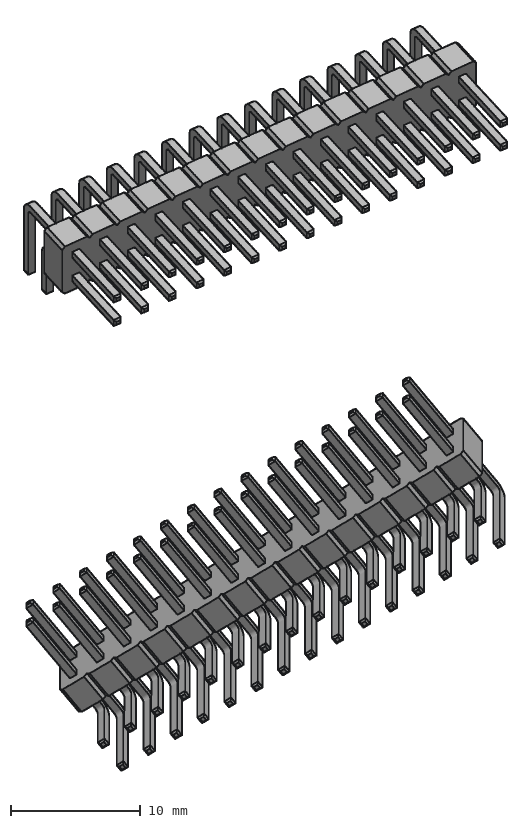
import cadquery as cq


body_length = 38.1
positions = 15
rows = 2
pitch = body_length / positions
body_width = pitch
body_height = rows * pitch
notch_size = 0.25

pin_size = 0.65
tip_chamfer = 0.15
bend_inner_radius = 0.35
bend_outer_radius = bend_inner_radius + pin_size

overall_width = 12.9
tail_drop = 7.77
front_reach = 6.02
pin_end_x = body_width / 2 + front_reach
outer_pin_x = pin_end_x - overall_width
upper_pin_top_z = body_height / 2 - (pitch - pin_size) / 2
pin_end_z = upper_pin_top_z - tail_drop


def make_body():
    """Rectangular bar with V notches between positions and matching end chamfers."""
    body = cq.Workplane("XY").box(body_width, body_length, body_height)
    for side in (1, -1):
        face_z = side * body_height / 2
        for i in range(positions + 1):
            y = i * pitch - body_length / 2
            notch = (
                cq.Workplane("YZ", origin=(-body_width / 2, 0, 0))
                .moveTo(y - notch_size, face_z)
                .lineTo(y + notch_size, face_z)
                .lineTo(y, face_z - side * notch_size)
                .close()
                .extrude(body_width)
            )
            body = body.cut(notch)
    return body


def make_pin(row):
    """Bent square pin at Y = 0; row 0 is the upper, longer pin."""
    back_x = outer_pin_x + row * pitch
    top_z = upper_pin_top_z - row * pitch
    pin = (
        cq.Workplane("XZ")
        .moveTo(back_x, pin_end_z)
        .lineTo(back_x, top_z)
        .lineTo(pin_end_x, top_z)
        .lineTo(pin_end_x, top_z - pin_size)
        .lineTo(back_x + pin_size, top_z - pin_size)
        .lineTo(back_x + pin_size, pin_end_z)
        .close()
        .extrude(pin_size / 2, both=True)
    )
    outer_corner = cq.selectors.NearestToPointSelector((back_x, 0, top_z))
    pin = pin.edges(outer_corner).fillet(bend_outer_radius)
    inner_corner = cq.selectors.NearestToPointSelector((back_x + pin_size, 0, top_z - pin_size))
    pin = pin.edges(inner_corner).fillet(bend_inner_radius)
    return pin.faces(">X or <Z").chamfer(tip_chamfer)


result = make_body()
for row in range(rows):
    pin = make_pin(row)
    for i in range(positions):
        y = (i + 0.5) * pitch - body_length / 2
        result = result.union(pin.translate((0, y, 0)))